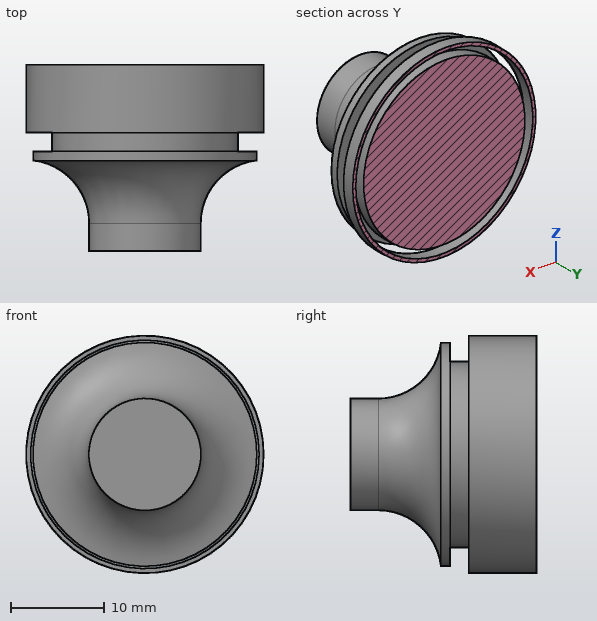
import cadquery as cq
import math

length = 20.0
outer_diameter = 25.5

neck_length = 3.0
flange_thickness = 1.0
groove_width = 2.0
cup_length = 7.3
flare_length = length - neck_length - flange_thickness - groove_width - cup_length

neck_diameter = 12.0
flange_diameter = 24.0
groove_diameter = 20.0
core_diameter = 22.5
bore_diameter = 24.5

gap_depth = 3.0

neck_end = -length / 2
flare_start = neck_end + neck_length
flange_front = flare_start + flare_length
flange_back = flange_front + flange_thickness
cup_rim = flange_back + groove_width
gap_floor = cup_rim + gap_depth
back = length / 2

neck_radius = neck_diameter / 2
flange_radius = flange_diameter / 2
flare_rise = flange_radius - neck_radius
flare_radius = (flare_rise**2 + flare_length**2) / (2 * flare_rise)
half_angle = math.asin(flare_length / flare_radius) / 2
flare_middle = (
    neck_radius + flare_radius * (1 - math.cos(half_angle)),
    flare_start + flare_radius * math.sin(half_angle),
)

half_section = (
    cq.Workplane("XY")
    .moveTo(0, neck_end)
    .lineTo(neck_radius, neck_end)
    .lineTo(neck_radius, flare_start)
    .threePointArc(flare_middle, (flange_radius, flange_front))
    .lineTo(flange_radius, flange_back)
    .lineTo(groove_diameter / 2, flange_back)
    .lineTo(groove_diameter / 2, cup_rim)
    .lineTo(core_diameter / 2, cup_rim)
    .lineTo(core_diameter / 2, gap_floor)
    .lineTo(bore_diameter / 2, gap_floor)
    .lineTo(bore_diameter / 2, cup_rim)
    .lineTo(outer_diameter / 2, cup_rim)
    .lineTo(outer_diameter / 2, back)
    .lineTo(0, back)
    .close()
)

result = half_section.revolve(360, (0, 0, 0), (0, 1, 0))